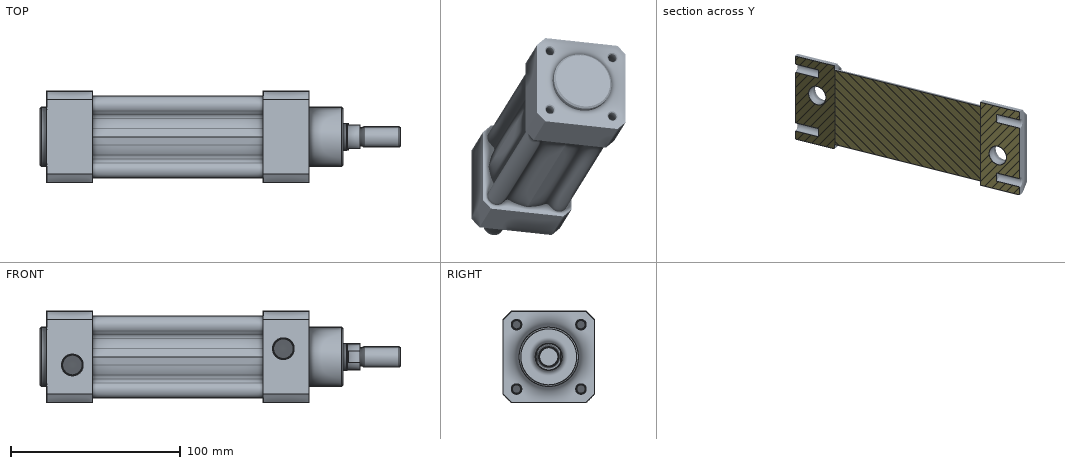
import cadquery as cq
import math


rear_spigot_length = 4.0
cap_length = 27.25
barrel_length = 100.5
front_spigot_length = 20.0
rear_cap_start = rear_spigot_length
barrel_start = rear_cap_start + cap_length
front_cap_start = barrel_start + barrel_length
front_cap_end = front_cap_start + cap_length
spigot_face = front_cap_end + front_spigot_length

cap_size = 54.0
cap_corner_chamfer = 5.0
spigot_radius = 17.5
spigot_chamfer = 1.0
screw_offset = 19.0
screw_hole_radius = 2.5
screw_hole_depth = 16.0
screw_hole_chamfer = 0.6
port_radius = 5.8
port_chamfer = 0.6
port_depth = 14.0
port_offset_z = 4.8
port_inset = 12.0

barrel_radius = 23.0
ridge_half_angle = math.radians(12)
lobe_radius = 5.25
web_fillet = 2.0

rod_radius = 8.0
rod_shoulder_length = 2.0
rod_taper_length = 0.7
wrench_radius = 7.75
wrench_flat_width = 14.0
wrench_flat_start = spigot_face + 3.2
thread_start = spigot_face + 10.0
thread_length = 24.0
thread_radius = 6.0
thread_root_radius = 5.4
neck_length = 1.2
thread_chamfer_length = 1.0
rod_end = thread_start + thread_length


def yz_plane(x):
    """Section plane across the cylinder axis; local axes are world Y and Z, normal is +X."""
    return cq.Workplane("YZ", origin=(x, 0, 0))


def countersunk_hole(start, direction, radius, depth, chamfer):
    """Tool for a flat-bottomed round hole with a chamfered mouth."""
    bore = cq.Solid.makeCylinder(radius, depth, start, direction)
    mouth = cq.Solid.makeCone(radius + chamfer, radius, chamfer, start, direction)
    return bore.fuse(mouth)


def make_cap(start_x, outward, spigot_length, port_z):
    """End cap whose spigot and screw holes face `outward` (-1 toward -X, +1 toward +X)."""
    cap = (
        yz_plane(start_x)
        .rect(cap_size, cap_size)
        .extrude(cap_length)
        .edges("|X")
        .chamfer(cap_corner_chamfer)
    )
    outer_x = start_x if outward < 0 else start_x + cap_length
    inner_x = start_x + cap_length if outward < 0 else start_x

    spigot = (
        yz_plane(outer_x)
        .circle(spigot_radius)
        .extrude(outward * spigot_length)
        .faces("<X" if outward < 0 else ">X")
        .chamfer(spigot_chamfer)
    )
    cap = cap.union(spigot)

    inward_axis = cq.Vector(-outward, 0, 0)
    for side_y in (-1, 1):
        for side_z in (-1, 1):
            mouth = cq.Vector(outer_x, side_y * screw_offset, side_z * screw_offset)
            hole = countersunk_hole(
                mouth, inward_axis, screw_hole_radius, screw_hole_depth, screw_hole_chamfer
            )
            cap = cap.cut(cq.Workplane(hole))

    port_mouth = cq.Vector(inner_x + outward * port_inset, -cap_size / 2, port_z)
    port = countersunk_hole(port_mouth, cq.Vector(0, 1, 0), port_radius, port_depth, port_chamfer)
    return cap.cut(cq.Workplane(port))


def polar(radius, angle):
    return (radius * math.cos(angle), radius * math.sin(angle))


def rotated(point, angle):
    return polar(math.hypot(*point), math.atan2(point[1], point[0]) + angle)


def make_barrel():
    """Barrel with a shallow ridge on each side and a round lobe on each diagonal.

    Each lobe joins the round wall through a parallel-sided web with filleted roots.
    One quarter of the outline is laid out from the +Y ridge to the +Z ridge, then repeated.
    """
    quarter_turn = math.pi / 2
    diagonal = quarter_turn / 2
    ridge_radius = barrel_radius / math.cos(ridge_half_angle)
    lobe_distance = screw_offset * math.sqrt(2)

    fillet_side = lobe_radius + web_fillet
    fillet_along = math.sqrt((barrel_radius + web_fillet) ** 2 - fillet_side**2)
    fillet_bearing = math.atan2(fillet_side, fillet_along)
    wall_end_angle = diagonal - fillet_bearing
    wall_mid_angle = (ridge_half_angle + wall_end_angle) / 2

    fillet_mid_angle = (math.pi + fillet_bearing + 3 * quarter_turn) / 2
    fillet_mid_along = fillet_along + web_fillet * math.cos(fillet_mid_angle)
    fillet_mid_side = fillet_side + web_fillet * math.sin(fillet_mid_angle)

    def on_wall(angle):
        return polar(barrel_radius, angle)

    def by_diagonal(along, side):
        """Point placed along the quarter's diagonal and sideways toward +Z."""
        return rotated((along, side), diagonal)

    quarter_steps = [
        [on_wall(ridge_half_angle)],
        [on_wall(wall_mid_angle), on_wall(wall_end_angle)],
        [by_diagonal(fillet_mid_along, -fillet_mid_side), by_diagonal(fillet_along, -lobe_radius)],
        [by_diagonal(lobe_distance, -lobe_radius)],
        [by_diagonal(lobe_distance + lobe_radius, 0), by_diagonal(lobe_distance, lobe_radius)],
        [by_diagonal(fillet_along, lobe_radius)],
        [by_diagonal(fillet_mid_along, fillet_mid_side), on_wall(quarter_turn - wall_end_angle)],
        [on_wall(quarter_turn - wall_mid_angle), on_wall(quarter_turn - ridge_half_angle)],
        [polar(ridge_radius, quarter_turn)],
    ]

    outline = yz_plane(barrel_start).moveTo(ridge_radius, 0)
    for quarter in range(4):
        for step in quarter_steps:
            points = [rotated(point, quarter * quarter_turn) for point in step]
            if len(points) == 1:
                outline = outline.lineTo(*points[0])
            else:
                outline = outline.threePointArc(*points)
    return outline.close().extrude(barrel_length)


def make_rod():
    """Rod end standing on the front spigot: shoulder, wrench flats, thread neck and thread."""
    shoulder_end = spigot_face + rod_shoulder_length
    neck_end = thread_start + neck_length
    profile = [
        (spigot_face, 0),
        (spigot_face, rod_radius),
        (shoulder_end, rod_radius),
        (shoulder_end + rod_taper_length, wrench_radius),
        (thread_start, wrench_radius),
        (thread_start, thread_root_radius),
        (neck_end, thread_root_radius),
        (neck_end + thread_chamfer_length, thread_radius),
        (rod_end - thread_chamfer_length, thread_radius),
        (rod_end, thread_root_radius),
        (rod_end, 0),
    ]
    rod = cq.Workplane("XY").polyline(profile).close().revolve(360, (0, 0, 0), (1, 0, 0))

    flat_length = thread_start - wrench_flat_start
    flat_depth = rod_radius - wrench_flat_width / 2
    for side in (-1, 1):
        flat_center_y = side * (wrench_flat_width + flat_depth) / 2
        flat = (
            yz_plane(wrench_flat_start)
            .center(flat_center_y, 0)
            .rect(flat_depth, 2 * rod_radius)
            .extrude(flat_length)
        )
        rod = rod.cut(flat)
    return rod


rear_cap = make_cap(rear_cap_start, -1, rear_spigot_length, -port_offset_z)
barrel = make_barrel()
front_cap = make_cap(front_cap_start, 1, front_spigot_length, port_offset_z)
rod = make_rod()

result = cq.Compound.makeCompound([rear_cap.val(), barrel.val(), front_cap.val(), rod.val()])